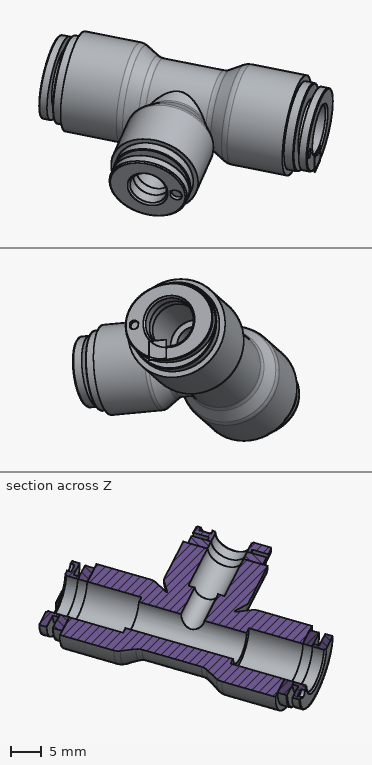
import cadquery as cq
import math


OVERALL_LENGTH = 45.7
OVERALL_WIDTH = 30.2
PAD_THICKNESS = 0.15
DOT_DEPTH = 0.7
COLLAR_CHAMFER = 0.15

RUN = dict(
    socket_diameter=16.7,
    neck_diameter=13.02,
    taper_start=8.85,
    taper_angle=30.0,
    blend_radius=2.0,
    socket_end=18.85,
    socket_depth=9.4,
    tube_diameter=8.2,
    flow_diameter=6.0,
    collar_diameter=14.7,
    collar_length=1.65,
    gap=0.9,
    sleeve_neck_diameter=9.6,
    flange_width=15.0,
    flange_height=13.05,
    flange_end=OVERALL_LENGTH / 2 - PAD_THICKNESS / 2,
    flange_edge=0.15,
    lead_in=0.3,
    dot_diameter=1.5,
    dot_offset=-6.0,
)

BRANCH = dict(
    socket_diameter=14.8,
    neck_diameter=11.05,
    taper_start=9.0,
    taper_angle=33.5,
    blend_radius=1.0,
    socket_end=17.95,
    socket_depth=8.7,
    tube_diameter=6.2,
    flow_diameter=4.0,
    collar_diameter=13.15,
    collar_length=1.65,
    gap=0.65,
    sleeve_neck_diameter=7.6,
    flange_width=13.15,
    flange_height=11.5,
    flange_end=OVERALL_WIDTH - RUN["socket_diameter"] / 2,
    flange_edge=0.25,
    lead_in=0.3,
    dot_diameter=2.0,
    dot_offset=4.8,
)

PAD_WIDTH = 2.92
PAD_HEIGHT = 3.2
PAD_CENTER_Y = -1.9
PAD_CENTER_Z = -4.65

RUN_TURNS = (0, 180)
BRANCH_TURN = -90


def rod(diameter, start, end):
    """Cylinder on the X axis between two positions."""
    return cq.Workplane("YZ").workplane(offset=start).circle(diameter / 2).extrude(end - start)


def turned(shape, angle):
    return shape.rotate((0, 0, 0), (0, 0, 1), angle)


def socket_arm(port):
    """Neck, cone and socket of one arm along +X, with blended cone edges."""
    socket_radius = port["socket_diameter"] / 2
    neck_radius = port["neck_diameter"] / 2
    taper_length = (socket_radius - neck_radius) / math.tan(math.radians(port["taper_angle"]))
    taper_end = port["taper_start"] - taper_length
    arm = (
        cq.Workplane("XY")
        .polyline([
            (0, 0),
            (0, neck_radius),
            (taper_end, neck_radius),
            (port["taper_start"], socket_radius),
            (port["socket_end"], socket_radius),
            (port["socket_end"], 0),
        ])
        .close()
        .revolve(360, (0, 0, 0), (1, 0, 0))
    )
    return arm.faces("%CONE").edges().fillet(port["blend_radius"])


def arm_bore(port):
    """Tube socket and flow passage of one arm along +X."""
    socket_floor = port["socket_end"] - port["socket_depth"]
    socket = rod(port["tube_diameter"], socket_floor, port["socket_end"])
    passage = rod(port["flow_diameter"], 0, socket_floor)
    return socket.union(passage)


def make_body():
    arms = [(RUN, turn) for turn in RUN_TURNS] + [(BRANCH, BRANCH_TURN)]
    body = cq.Workplane("XY")
    for port, turn in arms:
        body = body.add(turned(socket_arm(port), turn))
    body = body.combine()
    for port, turn in arms:
        body = body.cut(turned(arm_bore(port), turn))
    return body


def make_collar(port):
    """Ring on the socket end face, with a chamfered outer edge."""
    start = port["socket_end"]
    end = start + port["collar_length"]
    ring = rod(port["collar_diameter"], start, end).faces(">X").chamfer(COLLAR_CHAMFER)
    return ring.cut(rod(port["tube_diameter"], start, end))


def make_sleeve(port):
    """Release sleeve: a short neck on the collar and an oval flange with a marker dot."""
    neck_start = port["socket_end"] + port["collar_length"]
    flange_start = neck_start + port["gap"]
    flange_end = port["flange_end"]
    flange = (
        cq.Workplane("YZ")
        .workplane(offset=flange_start)
        .ellipse(port["flange_width"] / 2, port["flange_height"] / 2)
        .extrude(flange_end - flange_start)
        .faces(">X")
        .edges()
        .chamfer(port["flange_edge"])
    )
    sleeve = flange.union(rod(port["sleeve_neck_diameter"], neck_start, flange_start))
    sleeve = sleeve.cut(rod(port["tube_diameter"], neck_start, flange_end))
    sleeve = sleeve.faces(">X").edges("%CIRCLE").chamfer(port["lead_in"])
    dot = rod(port["dot_diameter"], flange_end - DOT_DEPTH, flange_end)
    return sleeve.cut(dot.translate((0, port["dot_offset"], 0)))


def add_marking_pad(sleeve):
    """Thin pad on the outer face of the +X sleeve."""
    pad = (
        cq.Workplane("YZ")
        .workplane(offset=RUN["flange_end"])
        .center(PAD_CENTER_Y, PAD_CENTER_Z)
        .rect(PAD_WIDTH, PAD_HEIGHT)
        .extrude(PAD_THICKNESS)
    )
    return sleeve.union(pad)


body = make_body()
run_collars = [turned(make_collar(RUN), turn) for turn in RUN_TURNS]
branch_collar = turned(make_collar(BRANCH), BRANCH_TURN)
run_sleeves = [turned(make_sleeve(RUN), turn) for turn in RUN_TURNS]
run_sleeves[0] = add_marking_pad(run_sleeves[0])
branch_sleeve = turned(make_sleeve(BRANCH), BRANCH_TURN)

result = cq.Compound.makeCompound([
    body.val(),
    *[collar.val() for collar in run_collars],
    branch_collar.val(),
    *[sleeve.val() for sleeve in run_sleeves],
    branch_sleeve.val(),
])